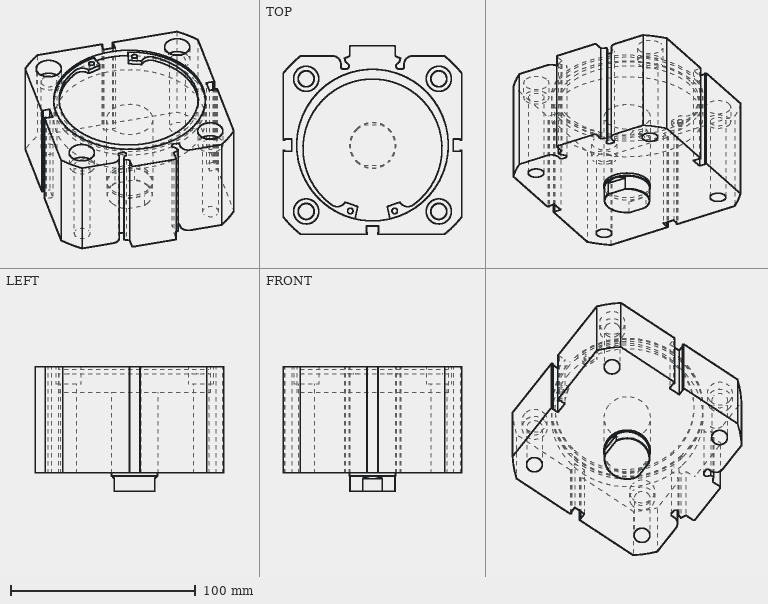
import cadquery as cq
import math

body_width = 96.5
body_height = 57.5
half_width = body_width / 2
corner_radius = 62.0
corner_reach = math.sqrt(corner_radius**2 - half_width**2)
corner_mid = corner_radius / math.sqrt(2)

rail_width = 24.7
rail_top = 53.75
rail_edge_fillet = 0.7
hook_root_y = 48.2
hook_tip = (15.2, 46.9)
hook_underside = (14.65, 45.1)
lobe_radius = 1.5
channel_floor_y = 41.2
lobe_center = (14.25, channel_floor_y + lobe_radius)
channel_outer_x = 17.0
channel_corner_radius = 0.9
shoulder_radius = 4.6
cut_clearance = 1.0

slot_width = 6.4
slot_depth = 4.5
slot_mouth_width = 5.5
slot_lip = 0.9
slot_mouth_chamfer = 0.25

hole_offset = 35.85
hole_diameter = 8.5
counterbore_diameter = 13.6
counterbore_depth = 9.2

bore_radius = 41.0
ring_recess = 1.3
ring_thickness = 2.5
cover_thickness = 10.0
ring_bottom = body_height - ring_recess - ring_thickness
cover_bottom = ring_bottom - cover_thickness

ring_inner_radius = 37.6
ring_inner_shift = 1.85
lug_bite_radius = 5.0
lug_bite_x = 19.1
lug_back_y = -30.8
lug_front_corner = (8.0, -33.2)
lug_foot_x = 9.4
lug_hole_center = (12.0, -35.6)
lug_hole_diameter = 3.0

rod_diameter = 25.0
rod_tip_diameter = 24.5
rod_stick_out = 10.0
rod_shoulder_length = 1.5
rod_edge_chamfer = 0.25
rod_flats_width = 22.0


def build_rail_channel(side):
    """Cutter for the hooked channel beside the rail; side is +1 or -1 along X."""
    def at(x, y):
        return (side * x, y)

    clear_y = rail_top + cut_clearance
    lobe_x, lobe_y = lobe_center
    diagonal = lobe_radius / math.sqrt(2)
    corner_sag = channel_corner_radius * (1 - 1 / math.sqrt(2))
    shoulder_x = channel_outer_x + shoulder_radius
    shoulder_y = half_width - shoulder_radius
    shoulder_mid = shoulder_radius / math.sqrt(2)
    return (
        cq.Workplane("XY")
        .moveTo(*at(rail_width / 2, clear_y))
        .lineTo(*at(rail_width / 2, hook_root_y))
        .lineTo(*at(*hook_tip))
        .lineTo(*at(*hook_underside))
        .lineTo(*at(lobe_x - diagonal, lobe_y + diagonal))
        .threePointArc(at(lobe_x - diagonal, lobe_y - diagonal), at(lobe_x, channel_floor_y))
        .lineTo(*at(channel_outer_x - channel_corner_radius, channel_floor_y))
        .threePointArc(
            at(channel_outer_x - corner_sag, channel_floor_y + corner_sag),
            at(channel_outer_x, channel_floor_y + channel_corner_radius),
        )
        .lineTo(*at(channel_outer_x, shoulder_y))
        .threePointArc(
            at(shoulder_x - shoulder_mid, shoulder_y + shoulder_mid),
            at(shoulder_x, half_width),
        )
        .lineTo(*at(shoulder_x, clear_y))
        .close()
        .extrude(body_height)
    )


def build_slot():
    """Cutter for the lipped slot on the -Y side."""
    outer_y = -half_width
    mouth_half = slot_mouth_width / 2
    half_slot = slot_width / 2
    right_side = [
        (mouth_half + slot_mouth_chamfer, outer_y),
        (mouth_half, outer_y + slot_mouth_chamfer),
        (mouth_half, outer_y + slot_lip),
        (half_slot, outer_y + slot_lip),
        (half_slot, outer_y + slot_depth),
    ]
    left_side = [(-x, y) for x, y in reversed(right_side)]
    return cq.Workplane("XY").polyline(right_side + left_side).close().extrude(body_height)


def build_housing():
    block = (
        cq.Workplane("XY")
        .moveTo(-corner_reach, -half_width)
        .lineTo(corner_reach, -half_width)
        .threePointArc((corner_mid, -corner_mid), (half_width, -corner_reach))
        .lineTo(half_width, corner_reach)
        .threePointArc((corner_mid, corner_mid), (corner_reach, half_width))
        .lineTo(-corner_reach, half_width)
        .threePointArc((-corner_mid, corner_mid), (-half_width, corner_reach))
        .lineTo(-half_width, -corner_reach)
        .threePointArc((-corner_mid, -corner_mid), (-corner_reach, -half_width))
        .close()
        .extrude(body_height)
    )
    rail = (
        cq.Workplane("XY")
        .box(rail_width, rail_top - channel_floor_y, body_height, centered=(True, False, False))
        .translate((0, channel_floor_y, 0))
        .edges("|Z and >Y")
        .fillet(rail_edge_fillet)
    )
    housing = block.union(rail)
    for side in (-1, 1):
        housing = housing.cut(build_rail_channel(side))

    for angle in (-90, 0, 90):
        housing = housing.cut(build_slot().rotate((0, 0, 0), (0, 0, 1), angle))

    housing = (
        housing.faces(">Z")
        .workplane(origin=(0, 0, body_height))
        .rect(2 * hole_offset, 2 * hole_offset, forConstruction=True)
        .vertices()
        .cboreHole(hole_diameter, counterbore_diameter, counterbore_depth)
    )
    bore = cq.Workplane("XY").workplane(offset=cover_bottom).circle(bore_radius).extrude(body_height)
    rod_hole = cq.Workplane("XY").circle(rod_diameter / 2).extrude(cover_bottom)
    return housing.cut(bore).cut(rod_hole)


def build_cover():
    return cq.Workplane("XY").workplane(offset=cover_bottom).circle(bore_radius).extrude(cover_thickness)


def build_retaining_ring():
    center_distance = ring_inner_radius - lug_bite_radius
    bite_y = -ring_inner_shift - math.sqrt(center_distance**2 - lug_bite_x**2)
    tangent_scale = ring_inner_radius / center_distance
    tangent_x = lug_bite_x * tangent_scale
    tangent_y = -ring_inner_shift + (bite_y + ring_inner_shift) * tangent_scale

    front_x, front_y = lug_front_corner
    bite_end_x = lug_bite_x - math.sqrt(lug_bite_radius**2 - (lug_back_y - bite_y) ** 2)
    foot_y = -math.sqrt(bore_radius**2 - lug_foot_x**2)

    ring = (
        cq.Workplane("XY")
        .workplane(offset=ring_bottom)
        .moveTo(lug_foot_x, foot_y)
        .lineTo(front_x, front_y)
        .lineTo(bite_end_x, lug_back_y)
        .threePointArc((lug_bite_x, bite_y - lug_bite_radius), (tangent_x, tangent_y))
        .threePointArc((0, ring_inner_radius - ring_inner_shift), (-tangent_x, tangent_y))
        .threePointArc((-lug_bite_x, bite_y - lug_bite_radius), (-bite_end_x, lug_back_y))
        .lineTo(-front_x, front_y)
        .lineTo(-lug_foot_x, foot_y)
        .threePointArc((0, bore_radius), (lug_foot_x, foot_y))
        .close()
        .extrude(ring_thickness)
    )
    hole_x, hole_y = lug_hole_center
    lug_holes = (
        cq.Workplane("XY")
        .workplane(offset=ring_bottom)
        .pushPoints([(-hole_x, hole_y), (hole_x, hole_y)])
        .circle(lug_hole_diameter / 2)
        .extrude(ring_thickness)
    )
    return ring.cut(lug_holes)


def build_rod():
    rod_radius = rod_diameter / 2
    tip_radius = rod_tip_diameter / 2
    step = rod_radius - tip_radius
    rod = (
        cq.Workplane("XZ")
        .moveTo(0, -rod_stick_out)
        .lineTo(tip_radius - rod_edge_chamfer, -rod_stick_out)
        .lineTo(tip_radius, -rod_stick_out + rod_edge_chamfer)
        .lineTo(tip_radius, -rod_shoulder_length - step)
        .lineTo(rod_radius, -rod_shoulder_length)
        .lineTo(rod_radius, cover_bottom)
        .lineTo(0, cover_bottom)
        .close()
        .revolve(360, (0, 0, 0), (0, 1, 0))
    )
    flat_y = rod_flats_width / 2
    runout_top = -rod_shoulder_length
    runout_bottom = runout_top - (rod_radius - flat_y)
    for side in (-1, 1):
        flat_cutter = (
            cq.Workplane("YZ")
            .moveTo(side * flat_y, -rod_stick_out)
            .lineTo(side * flat_y, runout_bottom)
            .lineTo(side * rod_radius, runout_top)
            .lineTo(side * rod_radius, -rod_stick_out)
            .close()
            .extrude(rod_radius, both=True)
        )
        rod = rod.cut(flat_cutter)
    return rod


housing = build_housing()
cover = build_cover()
retaining_ring = build_retaining_ring()
rod = build_rod()

result = cq.Compound.makeCompound([housing.val(), cover.val(), retaining_ring.val(), rod.val()])